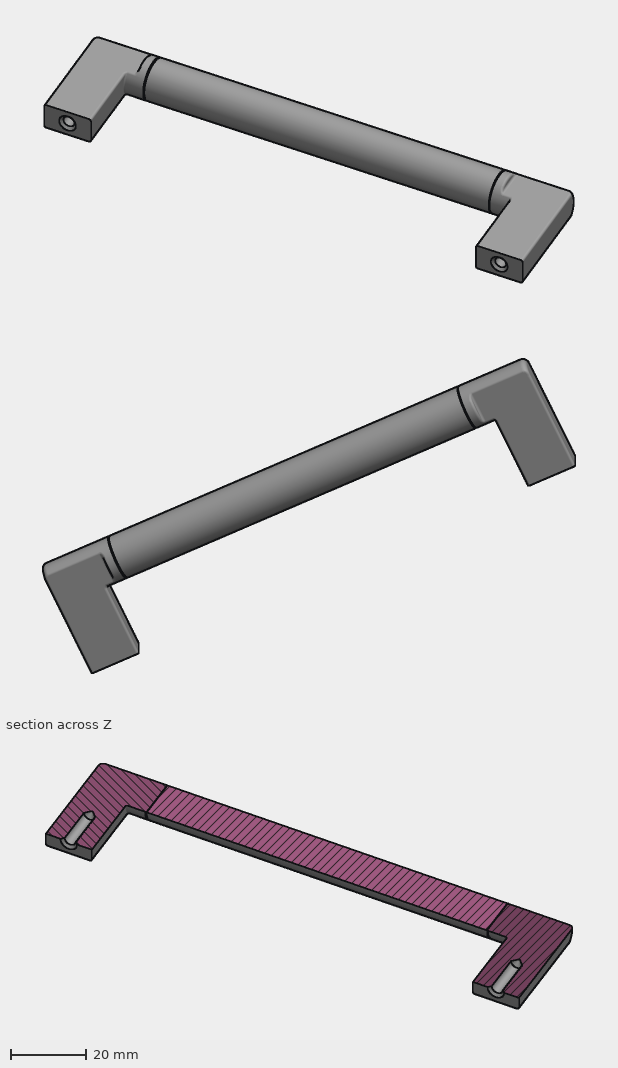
import cadquery as cq

overall_length = 142.0
overall_depth = 32.1
bar_diameter = 12.2
leg_width = 13.9
leg_thickness = 8.1
head_length = 19.9
shoulder_offset = 16.9
edge_radius = 0.7
inner_corner_radius = 0.4
shoulder_fillet_radius = 0.7
back_corner_radius = 1.4
joint_chamfer = 0.3
hole_diameter = 3.3
hole_mouth_diameter = 5.0
hole_depth = 12.0

bar_radius = bar_diameter / 2
end_x = -overall_length / 2
bar_length = overall_length - 2 * head_length
foot_y = bar_radius - overall_depth
leg_half = leg_thickness / 2
hole_chamfer = (hole_mouth_diameter - hole_diameter) / 2


def make_bar():
    """Plain round grip between the two legs."""
    return cq.Workplane("YZ", origin=(end_x + head_length, 0, 0)).circle(bar_radius).extrude(bar_length)


def make_head():
    """Round head in line with the bar, with a straight leg running to the foot."""
    head = cq.Workplane("YZ", origin=(end_x, 0, 0)).circle(bar_radius).extrude(head_length)
    head = head.faces(">X").edges().chamfer(joint_chamfer)
    leg = cq.Workplane("XY").box(leg_width, -foot_y, leg_thickness, centered=(False, False, True))
    return head.union(leg.translate((end_x, foot_y, 0)))


def make_flat_cutter():
    """Block that planes the head down to the leg's upper side, with a rounded corner at the shoulder."""
    block = cq.Workplane("XY").box(
        2 * shoulder_offset, overall_depth, bar_radius, centered=(True, True, False)
    )
    block = block.translate((end_x, 0, leg_half))
    return block.edges(">X and <Z").fillet(shoulder_fillet_radius)


def make_mounting_hole():
    """Blind screw hole up the leg from its foot, with a chamfered mouth and a conical bottom."""
    hole_radius = hole_diameter / 2
    outline = (
        cq.Workplane("XY", origin=(end_x + leg_width / 2, foot_y, 0))
        .lineTo(hole_mouth_diameter / 2, 0)
        .lineTo(hole_radius, hole_chamfer)
        .lineTo(hole_radius, hole_depth)
        .lineTo(0, hole_depth + hole_radius)
        .close()
    )
    return outline.revolve(360, (0, 0, 0), (0, 1, 0))


def make_leg():
    """Leg at the -X end."""
    cutter = make_flat_cutter()
    leg = make_head().cut(cutter).cut(cutter.mirror("XY"))
    leg = leg.faces("<X").edges(">Y").fillet(back_corner_radius)
    inner_corner = cq.selectors.NearestToPointSelector((end_x + leg_width, -bar_radius, 0))
    leg = leg.edges(inner_corner).fillet(inner_corner_radius)
    leg = leg.faces("|Z").edges("not(<Y)").fillet(edge_radius)
    return leg.cut(make_mounting_hole())


bar = make_bar()
left_leg = make_leg()
legs = [left_leg, left_leg.mirror("YZ")]

result = cq.Compound.makeCompound([bar.val(), *[leg.val() for leg in legs]])